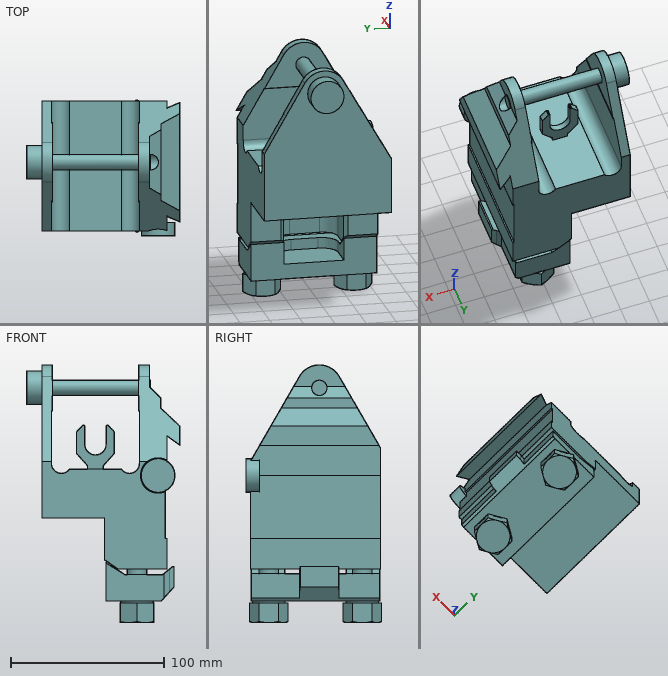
import cadquery as cq
import math


body_depth = 85.0
body_mid_y = -2.5
body_front_y = body_mid_y - body_depth / 2
body_back_y = body_mid_y + body_depth / 2
eye_radius = 15.0
cheek_taper = 30.0
plate_bottom_z = -85.0
seat_z = -53.0

gap_left_x = 6.3
gap_right_x = 63.5
gap_mid_x = (gap_left_x + gap_right_x) / 2
pad_bottom_z = -15.0
pad_height = 0.5
groove_radius = 6.35
groove_z = -49.4

cheek_right_x = 70.2
hook_slope_top_z = 0.8
hook_ledge_x = 77.6
hook_ledge_top_z = hook_slope_top_z - (hook_ledge_x - cheek_right_x)
hook_ledge_bottom_z = -13.2
hook_tip_x = 90.0
hook_tip_top_z = -25.0
hook_tip_bottom_z = -37.5
hook_root_z = -31.4

leg_left_x = 40.75
leg_right_x = 81.6
leg_bottom_z = -118.2
leg_bevel_width = 8.7
leg_bevel_height = 6.0
relief_depth = 1.0
relief_bottom_z = -98.2

slot_width = 40.0
slot_end_x = 70.5
leg_slot_corner = 10.0
clamp_slot_corner = 11.0
slot_chamfer = 2.3
clamp_slot_floor_z = -129.0

rod_diameter = 10.0
rod_head_diameter = 22.0
rod_head_length = 10.0
rod_overhang = 0.5

pin_x = 75.8
pin_z = -57.2
pin_diameter = 22.0
pin_protrusion = 3.0
pin_recess_diameter = 23.0
pin_recess_depth = 5.8

fork_thickness = 4.0
fork_half_width = 12.4
fork_stem_half_width = 5.2
fork_stem_top_z = -50.8
fork_shoulder_z = -42.8
fork_bevel_z = -28.7
fork_top_z = -24.3
fork_tip_half_width = 8.2
fork_slot_radius = 6.9
fork_slot_z = -36.8
fork_tip_chamfer = 0.6

clamp_depth = 84.0
clamp_left_x = 41.7
clamp_bottom_z = -139.22
clamp_top_z = -121.8
clamp_rise_z = -114.1
clamp_bevel_end_x = 54.2
clamp_hook_start_x = 78.8
clamp_hook_tip_x = 86.2
clamp_hook_land = 1.0
clamp_hook_top_z = -116.6
clamp_hook_bottom_z = -129.9
clamp_bottom_end_x = 77.8
clamp_shoulder_x = 79.6
tongue_half_width = 12.9
tongue_taper_x = 83.1
tongue_taper = 0.5

bolt_x = 62.0
bolt_spacing = 61.0
bolt_diameter = 13.0
bolt_sides = 6
bolt_across_flats = 22.0
bolt_head_height = 13.0
bolt_corner_angle = 90.0
bolt_washer_height = 1.0
bolt_washer_diameter = 21.5
bolt_engagement = 5.0


def box(x0, x1, y0, y1, z0, z1):
    return cq.Workplane("XY").box(x1 - x0, y1 - y0, z1 - z0, centered=False).translate((x0, y0, z0))


def extrude_along_y(points, y0, y1):
    """Extrude a closed XZ outline from y0 to y1."""
    return cq.Workplane("XZ", origin=(0, y1, 0)).polyline(points).close().extrude(y1 - y0)


def cylinder_along_x(diameter, x0, x1):
    return cq.Workplane("YZ", origin=(x0, 0, 0)).circle(diameter / 2).extrude(x1 - x0)


def cylinder_along_y(diameter, x, z, y0, y1):
    return cq.Workplane("XZ", origin=(x, y1, z)).circle(diameter / 2).extrude(y1 - y0)


def body_profile():
    """Side outline: left cheek, plate, leg and hooked right cheek, without the gap."""
    points = [
        (0, eye_radius),
        (0, plate_bottom_z),
        (leg_left_x, plate_bottom_z),
        (leg_left_x, leg_bottom_z + leg_bevel_height),
        (leg_left_x + leg_bevel_width, leg_bottom_z),
        (leg_right_x, leg_bottom_z),
        (leg_right_x, relief_bottom_z),
        (leg_right_x - relief_depth, relief_bottom_z),
        (leg_right_x - relief_depth, pin_z),
        (leg_right_x, pin_z),
        (leg_right_x, hook_root_z),
        (hook_tip_x, hook_tip_bottom_z),
        (hook_tip_x, hook_tip_top_z),
        (hook_ledge_x, hook_ledge_bottom_z),
        (hook_ledge_x, hook_ledge_top_z),
        (cheek_right_x, hook_slope_top_z),
        (cheek_right_x, eye_radius),
    ]
    return extrude_along_y(points, body_front_y, body_back_y)


def cheek_outline():
    """Round-topped outline across Y with flanks tangent to the eye radius."""
    angle = math.radians(cheek_taper)
    tangent_y = eye_radius * math.cos(angle)
    tangent_z = eye_radius * math.sin(angle)

    def flank_z(y):
        return (eye_radius / math.cos(angle) - abs(y)) / math.tan(angle)

    return (
        cq.Workplane("YZ")
        .moveTo(-tangent_y, tangent_z)
        .threePointArc((0, eye_radius), (tangent_y, tangent_z))
        .lineTo(body_back_y, flank_z(body_back_y))
        .lineTo(body_back_y, leg_bottom_z)
        .lineTo(body_front_y, leg_bottom_z)
        .lineTo(body_front_y, flank_z(body_front_y))
        .close()
        .extrude(hook_tip_x)
    )


def cheek_gap():
    """Space between the cheeks with a round groove along each side of the seat."""
    y0, y1 = body_front_y, body_back_y
    left, right = gap_left_x, gap_right_x
    gap = box(left + pad_height, right - pad_height, y0, y1, pad_bottom_z, eye_radius)
    gap = gap.union(box(left, right, y0, y1, groove_z, pad_bottom_z))
    gap = gap.union(box(left + groove_radius, right - groove_radius, y0, y1, seat_z, groove_z))
    for x in (left + groove_radius, right - groove_radius):
        gap = gap.union(cylinder_along_y(2 * groove_radius, x, groove_z, y0, y1))
    return gap


def slot(x0, z0, z1, corner):
    """Slot open toward -X with rounded inner corners."""
    y0 = body_mid_y - slot_width / 2
    y1 = body_mid_y + slot_width / 2
    return box(x0, slot_end_x, y0, y1, z0, z1).edges("|Z and >X").fillet(corner)


def leg_slot():
    """Slot through the leg with chamfered edges at its mouth."""
    cut = slot(leg_left_x, leg_bottom_z, plate_bottom_z, leg_slot_corner)
    half_width = slot_width / 2
    mouth = (
        cq.Workplane("XY", origin=(leg_left_x, body_mid_y, leg_bottom_z))
        .moveTo(0, -half_width - slot_chamfer)
        .lineTo(slot_chamfer, -half_width)
        .lineTo(slot_chamfer, half_width)
        .lineTo(0, half_width + slot_chamfer)
        .close()
        .extrude(plate_bottom_z - leg_bottom_z)
    )
    return cut.union(mouth)


def make_body():
    """Machined body with the rod bore and the side pin recess."""
    body = body_profile().intersect(cheek_outline())
    body = body.cut(cheek_gap()).cut(leg_slot())
    body = body.cut(cylinder_along_x(rod_diameter, 0, hook_tip_x))
    recess_bottom_y = body_front_y + pin_recess_depth
    return body.cut(cylinder_along_y(pin_recess_diameter, pin_x, pin_z, body_front_y, recess_bottom_y))


def make_rod():
    rod = cylinder_along_x(rod_diameter, -rod_head_length, cheek_right_x + rod_overhang)
    return rod.union(cylinder_along_x(rod_head_diameter, -rod_head_length, 0))


def make_side_pin():
    seat_y = body_front_y + pin_recess_depth
    return cylinder_along_y(pin_diameter, pin_x, pin_z, body_front_y - pin_protrusion, seat_y)


def make_fork():
    """Open-topped fork with a round-bottomed slot, centred between the cheeks."""
    right_side = [
        (fork_stem_half_width, seat_z),
        (fork_stem_half_width, fork_stem_top_z),
        (fork_half_width, fork_shoulder_z),
        (fork_half_width, fork_bevel_z),
        (fork_tip_half_width, fork_top_z),
    ]
    left_side = [(-x, z) for x, z in reversed(right_side)]
    y0, y1 = -fork_thickness / 2, fork_thickness / 2
    mouth_z = fork_top_z - fork_tip_chamfer
    mouth_half_width = fork_slot_radius + fork_tip_chamfer
    mouth = [
        (-fork_slot_radius, fork_slot_z),
        (fork_slot_radius, fork_slot_z),
        (fork_slot_radius, mouth_z),
        (mouth_half_width, fork_top_z),
        (-mouth_half_width, fork_top_z),
        (-fork_slot_radius, mouth_z),
    ]
    fork = extrude_along_y(right_side + left_side, y0, y1)
    fork = fork.cut(extrude_along_y(mouth, y0, y1))
    fork = fork.cut(cylinder_along_y(2 * fork_slot_radius, 0, fork_slot_z, y0, y1))
    return fork.translate((gap_mid_x, 0, 0))


def clamp_plan():
    """Plan outline: full-width block with a narrow tongue that tapers at its tip."""
    y0 = body_mid_y - clamp_depth / 2
    y1 = body_mid_y + clamp_depth / 2
    tip_half_width = tongue_half_width - tongue_taper
    points = [
        (clamp_left_x, y0),
        (clamp_shoulder_x, y0),
        (clamp_shoulder_x, -tongue_half_width),
        (tongue_taper_x, -tongue_half_width),
        (clamp_hook_tip_x, -tip_half_width),
        (clamp_hook_tip_x, tip_half_width),
        (tongue_taper_x, tongue_half_width),
        (clamp_shoulder_x, tongue_half_width),
        (clamp_shoulder_x, y1),
        (clamp_left_x, y1),
    ]
    height = clamp_rise_z - clamp_bottom_z
    return cq.Workplane("XY", origin=(0, 0, clamp_bottom_z)).polyline(points).close().extrude(height)


def make_clamp():
    profile = [
        (clamp_left_x, clamp_bottom_z),
        (clamp_bottom_end_x, clamp_bottom_z),
        (clamp_hook_tip_x, clamp_hook_bottom_z),
        (clamp_hook_tip_x, clamp_hook_top_z),
        (clamp_hook_tip_x - clamp_hook_land, clamp_hook_top_z),
        (clamp_hook_start_x, clamp_top_z),
        (clamp_bevel_end_x, clamp_top_z),
        (clamp_left_x, clamp_rise_z),
    ]
    clamp = extrude_along_y(profile, body_front_y, body_back_y).intersect(clamp_plan())
    return clamp.cut(slot(clamp_left_x, clamp_slot_floor_z, clamp_rise_z, clamp_slot_corner))


def make_bolt(y):
    """Hexagon bolt from below, with corners along Y and a round face under the head."""
    head_top_z = clamp_bottom_z - bolt_washer_height
    head_bottom_z = head_top_z - bolt_head_height
    across_corners = bolt_across_flats / math.cos(math.pi / bolt_sides)
    shank_top_z = leg_bottom_z + bolt_engagement
    base = cq.Workplane("XY", origin=(bolt_x, y, head_bottom_z))
    head = base.transformed(rotate=(0, 0, bolt_corner_angle))
    head = head.polygon(bolt_sides, across_corners).extrude(bolt_head_height)
    chamfered_stock = base.circle(across_corners / 2).extrude(bolt_head_height)
    corner_excess = (across_corners - bolt_across_flats) / 2
    chamfered_stock = chamfered_stock.faces("<Z").chamfer(corner_excess / 2, corner_excess)
    head = head.intersect(chamfered_stock)
    washer = cq.Workplane("XY", origin=(bolt_x, y, head_top_z))
    washer = washer.circle(bolt_washer_diameter / 2).extrude(bolt_washer_height)
    shank = base.circle(bolt_diameter / 2).extrude(shank_top_z - head_bottom_z)
    return head.union(washer).union(shank)


result = make_body()
for component in (make_rod(), make_side_pin(), make_fork(), make_clamp()):
    result = result.union(component)
for side in (-1, 1):
    result = result.union(make_bolt(body_mid_y + side * bolt_spacing / 2))